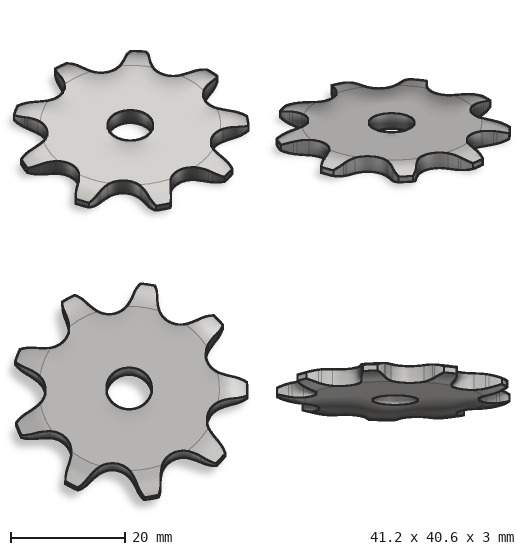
import cadquery as cq
import math

tooth_count = 9
chain_pitch = 12.7
roller_diameter = 7.75
thickness = 3.0
bore_diameter = 8.0
tip_radius = 20.75
tip_width = 1.1
flat_face_radius = 15.85
seat_clearance = 0.1

half_pitch_angle = math.pi / tooth_count
pitch_radius = chain_pitch / 2 / math.sin(half_pitch_angle)
seat_radius = (roller_diameter + seat_clearance) / 2
seat_angle = math.radians(35 + 60 / tooth_count)
working_angle = math.radians(18 - 56 / tooth_count)
flank_angle = seat_angle - working_angle
working_center_offset = 0.8 * roller_diameter
working_radius = working_center_offset + seat_radius
topping_center_offset = 1.4 * roller_diameter
cutter_radius = 1.2 * tip_radius


def polar(center, radius, angle):
    return (center[0] + radius * math.cos(angle), center[1] + radius * math.sin(angle))


def mirrored(point):
    return (-point[0], point[1])


def lower_crown_middle():
    """Middle point of the lower crown arc, which is tangent to the flat face."""
    run = tip_radius - flat_face_radius
    drop = (thickness - tip_width) / 2
    crown_radius = (run**2 + drop**2) / (2 * drop)
    half_sweep = math.asin(run / crown_radius) / 2
    crown_center = (flat_face_radius, crown_radius - thickness / 2)
    return polar(crown_center, crown_radius, half_sweep - math.pi / 2)


def make_blank():
    """Bored disc whose rim is crowned on both faces."""
    half_thickness = thickness / 2
    half_tip = tip_width / 2
    bore_radius = bore_diameter / 2
    return (
        cq.Workplane("XZ")
        .moveTo(bore_radius, -half_thickness)
        .lineTo(bore_radius, half_thickness)
        .lineTo(flat_face_radius, half_thickness)
        .tangentArcPoint((tip_radius, half_tip), relative=False)
        .lineTo(tip_radius, -half_tip)
        .threePointArc(lower_crown_middle(), (flat_face_radius, -half_thickness))
        .close()
        .revolve(360, (0, 0, 0), (0, 1, 0))
    )


def make_gap_cutter():
    """Space between two teeth, centred on +Y."""
    roller_center = (0, pitch_radius)
    seat_bottom = (0, pitch_radius - seat_radius)

    seat_end = polar(roller_center, seat_radius, math.pi + seat_angle)
    working_center = polar(roller_center, working_center_offset, seat_angle)
    working_middle = polar(working_center, working_radius, math.pi + seat_angle - working_angle / 2)
    working_end = polar(working_center, working_radius, math.pi + flank_angle)

    topping_center = polar(roller_center, topping_center_offset, math.pi + half_pitch_angle)
    topping_radius = (
        (working_end[0] - topping_center[0]) * math.cos(flank_angle)
        + (working_end[1] - topping_center[1]) * math.sin(flank_angle)
    )
    topping_start = polar(topping_center, topping_radius, flank_angle)

    center_distance = math.hypot(*topping_center)
    center_direction = math.atan2(topping_center[1], topping_center[0])
    tip_offset = math.acos(
        (center_distance**2 + tip_radius**2 - topping_radius**2) / (2 * center_distance * tip_radius)
    )
    tip_angle = center_direction - tip_offset
    tip_point = polar((0, 0), tip_radius, tip_angle)
    topping_end_angle = math.atan2(tip_point[1] - topping_center[1], tip_point[0] - topping_center[0])
    topping_middle = polar(topping_center, topping_radius, (flank_angle + topping_end_angle) / 2)
    outer_point = polar((0, 0), cutter_radius, tip_angle)

    return (
        cq.Workplane("XY", origin=(0, 0, -thickness))
        .moveTo(*outer_point)
        .lineTo(*tip_point)
        .threePointArc(topping_middle, topping_start)
        .lineTo(*working_end)
        .threePointArc(working_middle, seat_end)
        .threePointArc(seat_bottom, mirrored(seat_end))
        .threePointArc(mirrored(working_middle), mirrored(working_end))
        .lineTo(*mirrored(topping_start))
        .threePointArc(mirrored(topping_middle), mirrored(tip_point))
        .lineTo(*mirrored(outer_point))
        .close()
        .extrude(2 * thickness)
    )


result = make_blank()
gap_cutter = make_gap_cutter()
for gap in range(tooth_count):
    result = result.cut(gap_cutter.rotate((0, 0, 0), (0, 0, 1), gap * 360 / tooth_count))